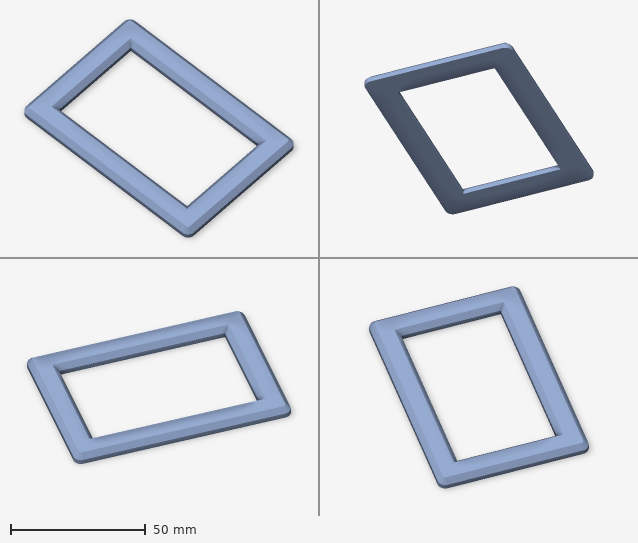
import cadquery as cq

length = 85.0
width = 59.0
thickness = 4.0

border = 10.0
corner_radius = 3.0
bevel = thickness / 2

opening_length = length - 2 * border
opening_width = width - 2 * border


def make_plate():
    """Rounded plate with its outer top rim bevelled."""
    plate = cq.Workplane("XY").rect(length, width).extrude(thickness)
    return plate.edges("|Z").fillet(corner_radius).faces(">Z").chamfer(bevel)


def make_opening():
    """Sharp-cornered through opening that flares out at the top."""
    straight = cq.Workplane("XY").rect(opening_length, opening_width).extrude(thickness)
    flare = (
        cq.Workplane("XY")
        .workplane(offset=thickness - bevel)
        .rect(opening_length, opening_width)
        .workplane(offset=bevel)
        .rect(opening_length + 2 * bevel, opening_width + 2 * bevel)
        .loft(ruled=True)
    )
    return straight.union(flare)


result = make_plate().cut(make_opening())